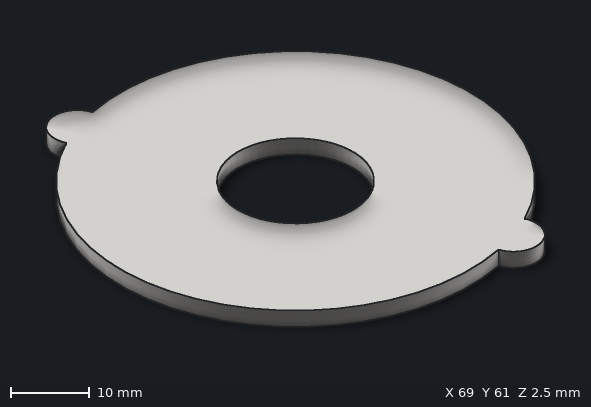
import cadquery as cq

disc_diameter = 61.0
bore_diameter = 20.0
thickness = 2.5
tab_radius = 4.0

tab_offset = disc_diameter / 2


def make_disc():
    """Flat round plate resting on the XY plane."""
    return cq.Workplane("XY").circle(disc_diameter / 2).extrude(thickness)


def make_tabs():
    """Two round grip tabs on opposite sides of the rim, along X."""
    tab_centres = [(-tab_offset, 0), (tab_offset, 0)]
    return cq.Workplane("XY").pushPoints(tab_centres).circle(tab_radius).extrude(thickness)


def make_bore():
    """Cutter for the central through hole."""
    return cq.Workplane("XY").circle(bore_diameter / 2).extrude(thickness)


result = make_disc().union(make_tabs()).cut(make_bore())